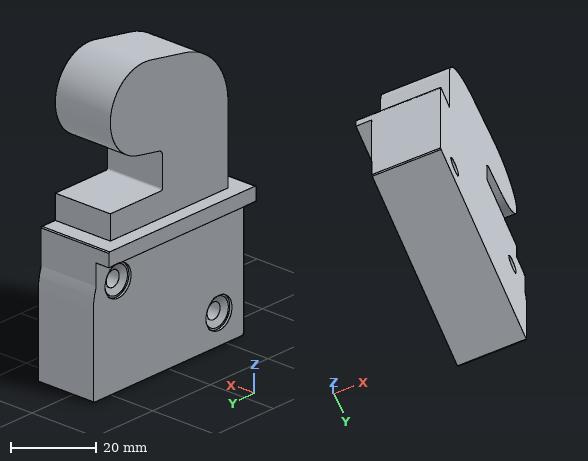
import cadquery as cq
import math

total_height = 81.65
body_thickness = 17.5
base_depth = 52.2
base_height = 39.6
edge_break = 0.3

relief_depth = 1.0
relief_start_z = 29.5
relief_radius = 18.0

ledge_overhang = 4.0
ledge_height = 4.0

hook_front_y = 5.4
hook_depth = 40.9
hook_slope = math.radians(10)
nose_radius = 11.75
shoulder_radius = 17.75
seat_height = 7.0
throat_y = 28.2
throat_top_radius = 1.5
throat_bottom_radius = 0.5

screw_diameter = 4.5
countersink_diameter = 8.0
countersink_angle = math.radians(120)
recess_diameter = 9.0
recess_depth = 0.7
lower_hole_y = 8.6
lower_hole_z = 8.55
hole_spacing_y = 35.0
hole_spacing_z = 20.0
hole_centers = [
    (lower_hole_y, lower_hole_z),
    (lower_hole_y + hole_spacing_y, lower_hole_z + hole_spacing_z),
]

ledge_depth = base_depth - relief_depth


def make_base():
    """Base block up to the ledge, with a tangent-arc relief on the back face."""
    sweep = math.acos(1 - relief_depth / relief_radius)
    arc_start_z = relief_start_z - relief_radius * math.sin(sweep)
    arc_center_y = base_depth - relief_radius
    arc_middle = (
        arc_center_y + relief_radius * math.cos(sweep / 2),
        arc_start_z + relief_radius * math.sin(sweep / 2),
    )
    block = (
        cq.Workplane("YZ")
        .lineTo(base_depth, 0)
        .lineTo(base_depth, arc_start_z)
        .threePointArc(arc_middle, (ledge_depth, relief_start_z))
        .lineTo(ledge_depth, base_height - ledge_height)
        .lineTo(0, base_height - ledge_height)
        .close()
        .extrude(body_thickness)
    )
    return block.edges("|X and <Z").chamfer(edge_break)


def make_ledge():
    """Bar that tops the base and overhangs its -X face, with its upper ends chamfered."""
    bar = (
        cq.Workplane("XY")
        .box(ledge_overhang + body_thickness, ledge_depth, ledge_height, centered=False)
        .translate((-ledge_overhang, 0, base_height - ledge_height))
    )
    return bar.edges("|X and >Z").chamfer(edge_break)


def make_hook():
    """Hook with a round nose, a sloping back, a round shoulder and an open throat."""
    back_y = hook_front_y + hook_depth
    seat_z = base_height + seat_height
    sin_slope = math.sin(hook_slope)
    cos_slope = math.cos(hook_slope)

    nose_y = back_y - nose_radius
    nose_z = total_height - nose_radius
    nose_top = (nose_y - nose_radius * sin_slope, nose_z + nose_radius * cos_slope)
    nose_bottom = (nose_y + nose_radius * sin_slope, nose_z - nose_radius * cos_slope)
    nose_tip = (nose_y + nose_radius * cos_slope, nose_z + nose_radius * sin_slope)

    shoulder_y = hook_front_y + shoulder_radius
    shoulder_top_y = shoulder_y - shoulder_radius * sin_slope
    shoulder_top_z = nose_top[1] - (nose_top[0] - shoulder_top_y) * math.tan(hook_slope)
    shoulder_z = shoulder_top_z - shoulder_radius * cos_slope
    middle_angle = (math.pi / 2 + hook_slope + math.pi) / 2
    shoulder_middle = (
        shoulder_y + shoulder_radius * math.cos(middle_angle),
        shoulder_z + shoulder_radius * math.sin(middle_angle),
    )

    throat_top_z = nose_bottom[1] - (nose_bottom[0] - throat_y) * math.tan(hook_slope)

    hook = (
        cq.Workplane("YZ")
        .moveTo(hook_front_y, base_height)
        .lineTo(hook_front_y, shoulder_z)
        .threePointArc(shoulder_middle, (shoulder_top_y, shoulder_top_z))
        .lineTo(*nose_top)
        .threePointArc(nose_tip, nose_bottom)
        .lineTo(throat_y, throat_top_z)
        .lineTo(throat_y, seat_z)
        .lineTo(back_y, seat_z)
        .lineTo(back_y, base_height)
        .close()
        .extrude(body_thickness)
    )
    middle_x = body_thickness / 2
    throat_top = cq.selectors.NearestToPointSelector((middle_x, throat_y, throat_top_z))
    throat_bottom = cq.selectors.NearestToPointSelector((middle_x, throat_y, seat_z))
    hook = hook.edges(throat_top).fillet(throat_top_radius)
    return hook.edges(throat_bottom).fillet(throat_bottom_radius)


def make_screw_hole(center_y, center_z):
    """Cutter for one hole: shallow recess, conical countersink and through bore."""
    screw_radius = screw_diameter / 2
    sink_radius = countersink_diameter / 2
    recess_radius = recess_diameter / 2
    cone_end_x = recess_depth + (sink_radius - screw_radius) / math.tan(countersink_angle / 2)
    return (
        cq.Workplane("XY")
        .lineTo(0, recess_radius)
        .lineTo(recess_depth, recess_radius)
        .lineTo(recess_depth, sink_radius)
        .lineTo(cone_end_x, screw_radius)
        .lineTo(body_thickness, screw_radius)
        .lineTo(body_thickness, 0)
        .close()
        .revolve(360, (0, 0, 0), (1, 0, 0))
        .translate((0, center_y, center_z))
    )


result = make_base().union(make_ledge()).union(make_hook())
for hole_y, hole_z in hole_centers:
    result = result.cut(make_screw_hole(hole_y, hole_z))